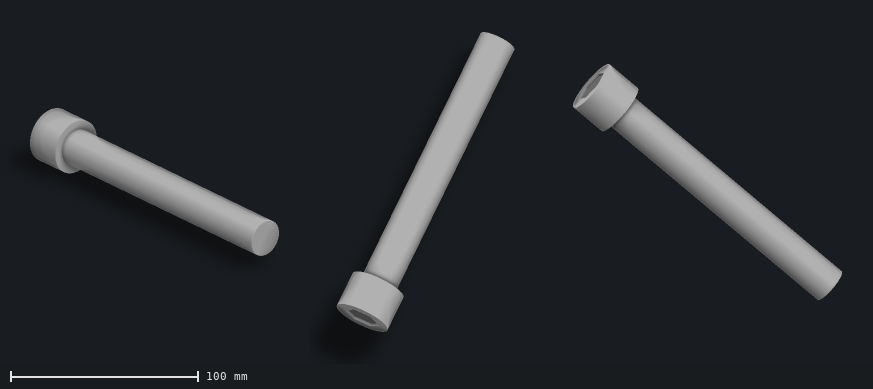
import cadquery as cq
import math

head_diameter = 30.0
shank_diameter = 20.0
head_height = shank_diameter
shank_length = 150.0
tip_chamfer = 0.2
socket_sides = 6
socket_across_flats = 17.0
socket_depth = 1.5


def make_head():
    return cq.Workplane("YZ").circle(head_diameter / 2).extrude(head_height)


def make_shank():
    shank = cq.Workplane("YZ", origin=(head_height, 0, 0)).circle(shank_diameter / 2).extrude(shank_length)
    return shank.faces(">X").chamfer(tip_chamfer)


def make_socket():
    """Shallow hexagonal recess with two corners on the Y axis."""
    across_corners = socket_across_flats / math.cos(math.pi / socket_sides)
    return cq.Workplane("YZ").polygon(socket_sides, across_corners).extrude(socket_depth)


result = make_head().union(make_shank()).cut(make_socket())